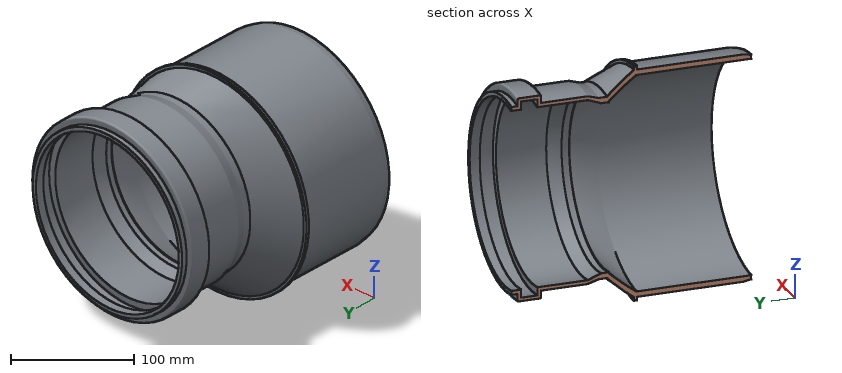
import cadquery as cq


spigot_diameter = 200.2
spigot_bore = 189.8
spigot_bore_depth = 99.5
spigot_tip_diameter = 197.5
tip_taper_length = 7.0
collar_diameter = 206.0
collar_width = 3.0
collar_end = 101.8

neck_diameter = 162.5
neck_bore = 152.2
cone_bore_small_diameter = 153.7
neck_start = 125.2
neck_bore_start = 123.3
neck_end = 132.2
neck_bore_end = 130.0
socket_diameter = 168.1
socket_bore = 160.7
socket_start = 141.8
total_length = 208.0
axis_offset = 19.0

bead_diameter = 181.3
bead_start = 182.0
bead_end = 202.8
bead_rounding = 2.0
seal_groove_diameter = 174.5
bead_wall = (bead_diameter - seal_groove_diameter) / 2
radius_tolerance = 0.02


def turned(profile, x_center):
    """Revolve (diameter, height) pairs about a line parallel to Y."""
    points = [(diameter / 2, height) for diameter, height in profile]
    outline = [(0, points[0][1])] + points + [(0, points[-1][1])]
    solid = cq.Workplane("XY").polyline(outline).close().revolve(360, (0, 0), (0, 1))
    return solid.translate((x_center, 0, 0))


def eccentric_cone(large_diameter, large_end, small_diameter, small_end):
    """Loft from the spigot circle to the shifted neck circle."""
    return (
        cq.Workplane("XZ", origin=(0, large_end, 0))
        .circle(large_diameter / 2)
        .workplane(offset=large_end - small_end)
        .center(axis_offset, 0)
        .circle(small_diameter / 2)
        .loft(ruled=True)
    )


spigot_outside = turned(
    [
        (spigot_tip_diameter, 0),
        (spigot_diameter, tip_taper_length),
        (spigot_diameter, collar_end - collar_width),
        (collar_diameter, collar_end - collar_width),
        (collar_diameter, collar_end),
    ],
    0,
)
socket_outside = turned(
    [
        (neck_diameter, neck_start),
        (neck_diameter, neck_end),
        (socket_diameter, socket_start),
        (socket_diameter, bead_start),
        (bead_diameter, bead_start),
        (bead_diameter, bead_end),
        (socket_diameter, bead_end),
        (socket_diameter, total_length),
    ],
    axis_offset,
)
bead_rims = socket_outside.edges("%CIRCLE").filter(
    lambda edge: abs(edge.radius() - bead_diameter / 2) < radius_tolerance
)
socket_outside = bead_rims.fillet(bead_rounding)

spigot_inside = turned([(spigot_bore, 0), (spigot_bore, spigot_bore_depth)], 0)
socket_inside = turned(
    [
        (neck_bore, neck_bore_start),
        (neck_bore, neck_bore_end),
        (socket_bore, socket_start),
        (socket_bore, bead_start + bead_wall),
        (seal_groove_diameter, bead_start + bead_wall),
        (seal_groove_diameter, bead_end - bead_wall),
        (socket_bore, bead_end - bead_wall),
        (socket_bore, total_length),
    ],
    axis_offset,
)

outer_cone = eccentric_cone(spigot_diameter, collar_end, neck_diameter, neck_start)
inner_cone = eccentric_cone(spigot_bore, spigot_bore_depth, cone_bore_small_diameter, neck_bore_start)
outside = spigot_outside.union(outer_cone).union(socket_outside)
inside = spigot_inside.union(inner_cone).union(socket_inside)
result = outside.cut(inside)